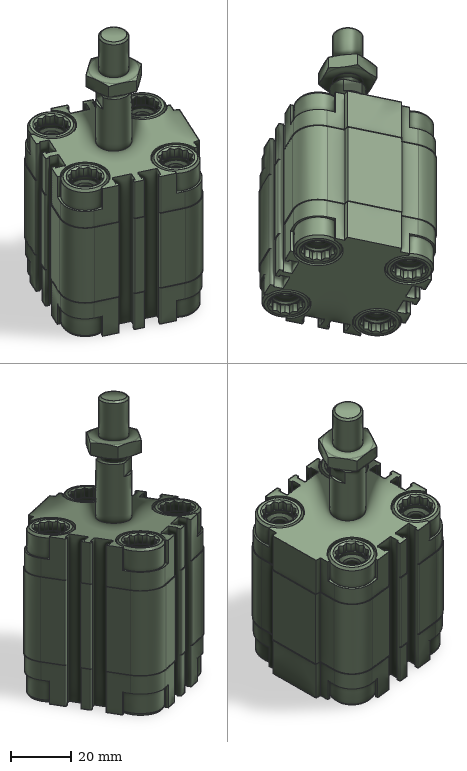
import cadquery as cq
import math

housing_height = 59.6
end_height = 14.7
total_height = 102.5

middle_half_width = 25.0
end_inset = 0.3
ridge_rise = 1.9
ridge_top_width = 19.0
ridge_base_width = 19.7

slot_floor = 19.9
lip_inner_face = 23.3
rib_half_width = 1.1
rib_head_half_width = 1.8
slot_neck_edge = 7.2
slot_outer_edge = 7.9
slot_rounding = 0.3
lip_rounding = 0.3

screw_offset = 16.0
screw_diameter = 16.0
screw_pocket_diameter = 16.4
screw_chamfer_width = 0.7
screw_chamfer_height = 0.9
corner_radius = middle_half_width - screw_offset
corner_recess_edge = 13.0
corner_recess_depth = 8.1
socket_across_flats = 10.0
socket_point_depth = 3.6
socket_depth = 4.7
socket_mouth_diameter = 12.5
socket_mouth_depth = 0.6
thread_hole_diameter = 4.9
countersink_diameter = 6.2
screw_positions = [(x, y) for x in (-screw_offset, screw_offset) for y in (-screw_offset, screw_offset)]

rod_diameter = 12.0
rod_shoulder = 80.5
wrench_flat_width = 10.0
wrench_flat_height = 4.7
neck_diameter = 8.3
thread_diameter = 10.0
thread_start = 82.6
thread_lead_height = 0.8
tip_chamfer = 0.7

nut_across_flats = 17.0
nut_bottom = 83.5
nut_height = 5.0
nut_face_diameter = 16.8
nut_chamfer_angle = math.radians(15)


def disc(diameter, bottom, top):
    return cq.Workplane("XY", origin=(0, 0, bottom)).circle(diameter / 2).extrude(top - bottom)


def cone(bottom_diameter, bottom, top_diameter, top):
    return (
        cq.Workplane("XZ")
        .polyline([(0, bottom), (bottom_diameter / 2, bottom), (top_diameter / 2, top), (0, top)])
        .close()
        .revolve(360, (0, 0), (0, 1))
    )


def hexagon(across_flats, bottom, height):
    """Hexagonal prism with two corners on the X axis."""
    corner_diameter = across_flats / math.cos(math.pi / 6)
    return cq.Workplane("XY", origin=(0, 0, bottom)).polygon(6, corner_diameter).extrude(height)


def profile(bottom, top, inset):
    """Slotted square with the ridge on its +Y side, its outer faces moved inward by the inset."""
    half_width = middle_half_width - inset
    height = top - bottom
    square = (
        cq.Workplane("XY", origin=(0, 0, bottom))
        .rect(2 * half_width, 2 * half_width)
        .extrude(height)
        .edges("|Z")
        .fillet(corner_radius - inset)
    )
    ridge = (
        cq.Workplane("XY", origin=(0, 0, bottom))
        .polyline([
            (-ridge_base_width / 2, 0),
            (ridge_base_width / 2, 0),
            (ridge_base_width / 2, half_width),
            (ridge_top_width / 2, half_width + ridge_rise),
            (-ridge_top_width / 2, half_width + ridge_rise),
            (-ridge_base_width / 2, half_width),
        ])
        .close()
        .extrude(height)
    )
    body = square.union(ridge)
    slots = slot_pair(half_width)
    for angle in (-90, 0, 90):
        body = body.cut(slots.rotate((0, 0, 0), (0, 0, 1), angle))
    return body


def slot_pair(face):
    """The two T-slots of the -Y side, their lips rounded off where they meet the outer face."""
    beyond = face + 1
    rounding_start = face - lip_rounding
    rib_round_end = rib_head_half_width - lip_rounding
    neck_round_end = slot_neck_edge + lip_rounding
    slot = (
        cq.Workplane("XY")
        .moveTo(rib_round_end, -beyond)
        .lineTo(rib_round_end, -face)
        .radiusArc((rib_head_half_width, -rounding_start), -lip_rounding)
        .lineTo(rib_head_half_width, -lip_inner_face)
        .lineTo(rib_half_width, -lip_inner_face)
        .lineTo(rib_half_width, -slot_floor)
        .lineTo(slot_outer_edge, -slot_floor)
        .lineTo(slot_outer_edge, -lip_inner_face)
        .lineTo(slot_neck_edge, -lip_inner_face)
        .lineTo(slot_neck_edge, -rounding_start)
        .radiusArc((neck_round_end, -face), -lip_rounding)
        .lineTo(neck_round_end, -beyond)
        .close()
        .extrude(housing_height)
        .edges("|Z and >Y")
        .fillet(slot_rounding)
    )
    return slot.union(slot.mirror("YZ"))


def screw_head():
    """Round head with a 12-point socket, its outer face at the top of the housing."""
    head = (
        disc(screw_diameter, housing_height - corner_recess_depth, housing_height)
        .faces(">Z")
        .chamfer(screw_chamfer_height, screw_chamfer_width)
    )
    points = hexagon(socket_across_flats, housing_height - socket_point_depth, socket_point_depth)
    mouth_bottom = housing_height - socket_mouth_depth
    floor = housing_height - socket_depth
    countersink_bottom = floor - (countersink_diameter - thread_hole_diameter) / 2
    return (
        head.cut(points)
        .cut(points.rotate((0, 0, 0), (0, 0, 1), 30))
        .cut(disc(socket_across_flats, floor, housing_height))
        .cut(cone(socket_across_flats, mouth_bottom, socket_mouth_diameter, housing_height))
        .cut(cone(thread_hole_diameter, countersink_bottom, countersink_diameter, floor))
    )


def corner_recess(x, y):
    """Space cut from one top corner to stand the screw head free on its two outer sides."""
    size = middle_half_width - corner_recess_edge
    middle = corner_recess_edge + size / 2
    floor = housing_height - corner_recess_depth
    centre = (math.copysign(middle, x), math.copysign(middle, y), floor)
    block = cq.Workplane("XY", origin=centre).rect(size, size).extrude(corner_recess_depth)
    return block.union(disc(screw_pocket_diameter, floor, housing_height).translate((x, y, 0)))


def make_housing():
    middle_top = housing_height - end_height
    body = profile(end_height, middle_top, 0)
    body = body.union(profile(0, end_height, end_inset))
    body = body.union(profile(middle_top, housing_height, end_inset))

    upper_head = screw_head()
    half_way = (0, 0, housing_height / 2)
    for x, y in screw_positions:
        recess = corner_recess(x, y)
        head = upper_head.translate((x, y, 0))
        body = body.cut(recess).union(head)
        body = body.cut(recess.mirror("XY", half_way)).union(head.mirror("XY", half_way))
        body = body.cut(disc(thread_hole_diameter, 0, housing_height).translate((x, y, 0)))
    return body


def make_piston_rod():
    """Rod standing on the housing, with two wrench flats, a neck and a threaded end."""
    shaft = disc(rod_diameter, housing_height, rod_shoulder)
    flats = (
        cq.Workplane("XY", origin=(0, 0, rod_shoulder - wrench_flat_height))
        .rect(2 * rod_diameter, 2 * rod_diameter)
        .rect(2 * rod_diameter, wrench_flat_width)
        .extrude(wrench_flat_height)
    )
    neck = disc(neck_diameter, rod_shoulder, thread_start)
    lead_top = thread_start + thread_lead_height
    lead = cone(neck_diameter, thread_start, thread_diameter, lead_top)
    thread = disc(thread_diameter, lead_top, total_height).faces(">Z").chamfer(tip_chamfer)
    return shaft.cut(flats).union(neck).union(lead).union(thread)


def make_nut():
    """Hexagon with two flats facing X, its corners turned off by a cone at both ends."""
    nut_top = nut_bottom + nut_height
    corner_diameter = nut_across_flats / math.cos(math.pi / 6)
    chamfer_width = (corner_diameter - nut_face_diameter) / 2
    turned = (
        disc(corner_diameter, nut_bottom, nut_top)
        .faces("<Z or >Z")
        .chamfer(chamfer_width * math.tan(nut_chamfer_angle), chamfer_width)
    )
    blank = hexagon(nut_across_flats, nut_bottom, nut_height).rotate((0, 0, 0), (0, 0, 1), 30)
    return blank.intersect(turned).cut(disc(thread_diameter, nut_bottom, nut_top))


housing = make_housing()
piston_rod = make_piston_rod()
nut = make_nut()

result = cq.Compound.makeCompound([
    housing.solids().val(),
    piston_rod.solids().val(),
    nut.solids().val(),
])